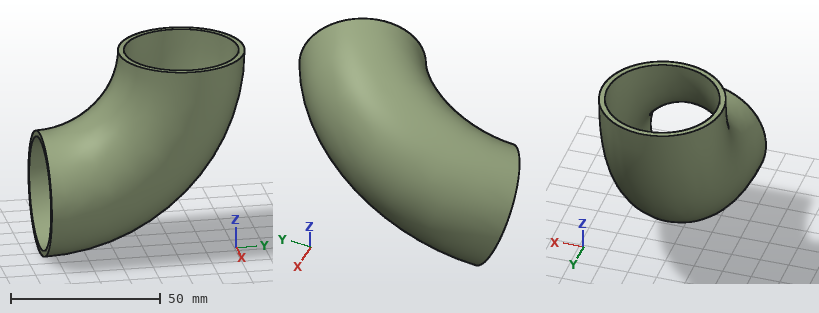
import cadquery as cq

overall_size = 69.2
outer_diameter = 42.4
wall_thickness = 2.0
bend_angle = 90.0

inner_diameter = outer_diameter - 2 * wall_thickness
bend_radius = overall_size - outer_diameter / 2

pipe_section = (
    cq.Workplane("XY")
    .center(0, bend_radius)
    .circle(outer_diameter / 2)
    .circle(inner_diameter / 2)
)
bend_axis_start = (0, -bend_radius)
bend_axis_end = (-1, -bend_radius)

result = pipe_section.revolve(bend_angle, bend_axis_start, bend_axis_end)